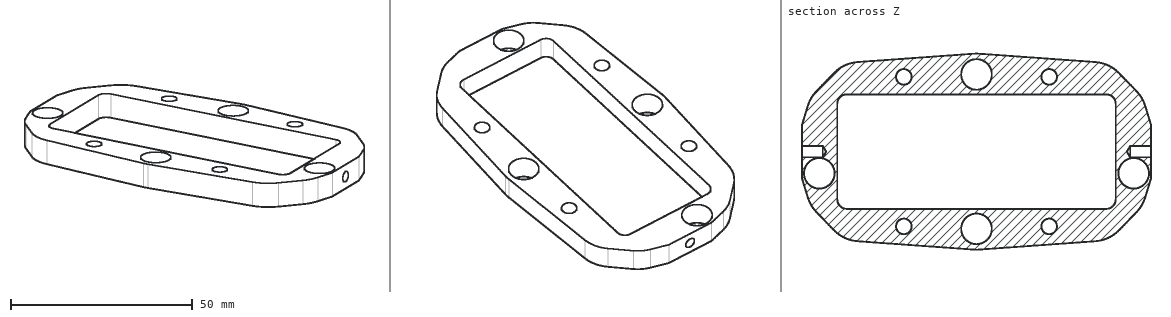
import cadquery as cq
import math

length = 96.0
width = 54.0
thickness = 7.0
corner_radius = 10.0

end_flat_half = 7.3
lower_corner = (45.7, 14.9)
upper_corner = (36.5, 24.4)

window_length = 76.4
window_width = 31.4
window_radius = 2.5

large_hole_diameter = 8.4
long_side_hole_y = 21.2
end_hole_x = 43.2
end_hole_y = -6.0
small_hole_diameter = 4.2
small_hole_x = 20.0
small_hole_y = 20.5

side_hole_diameter = 3.0
side_hole_depth = 5.8
drill_point_angle = 118.0


def make_plate():
    """Plate with a flat at each end and a shallow peak on each long side."""
    slope = math.atan2(width / 2 - upper_corner[1], upper_corner[0])
    peak_y = width / 2 + corner_radius * (1 / math.cos(slope) - 1)
    quadrant = [(length / 2, end_flat_half), lower_corner, upper_corner]
    upper_half = quadrant + [(0, peak_y)] + [(-x, y) for x, y in reversed(quadrant)]
    lower_half = [(-x, -y) for x, y in upper_half]
    bottom = cq.Workplane("XY").workplane(offset=-thickness / 2)
    plate = bottom.polyline(upper_half + lower_half).close().extrude(thickness)

    box_margin = 1.0
    half_flat_box = end_flat_half + box_margin
    flat_edges = cq.selectors.BoxSelector(
        (-length, -half_flat_box, -thickness), (length, half_flat_box, thickness)
    )
    vertical_edges = cq.selectors.ParallelDirSelector(cq.Vector(0, 0, 1))
    rounded_edges = cq.selectors.SubtractSelector(vertical_edges, flat_edges)
    return plate.edges(rounded_edges).fillet(corner_radius)


def make_window():
    window = cq.Workplane("XY").box(window_length, window_width, thickness)
    return window.edges("|Z").fillet(window_radius)


def make_vertical_holes():
    large_points = [(0, long_side_hole_y), (0, -long_side_hole_y)]
    large_points += [(end_hole_x, end_hole_y), (-end_hole_x, end_hole_y)]
    small_points = [(sx * small_hole_x, sy * small_hole_y) for sx in (-1, 1) for sy in (-1, 1)]
    plane = cq.Workplane("XY").workplane(offset=-thickness / 2)
    large = plane.pushPoints(large_points).circle(large_hole_diameter / 2).extrude(thickness)
    small = plane.pushPoints(small_points).circle(small_hole_diameter / 2).extrude(thickness)
    return large.union(small)


def make_side_hole():
    """Blind hole with a conical bottom, drilled inwards from the -X end face."""
    radius = side_hole_diameter / 2
    face_x = -length / 2
    shoulder_x = face_x + side_hole_depth
    tip_x = shoulder_x + radius / math.tan(math.radians(drill_point_angle / 2))
    half_section = [(face_x, 0), (face_x, radius), (shoulder_x, radius), (tip_x, 0)]
    return cq.Workplane("XY").polyline(half_section).close().revolve(360, (0, 0), (1, 0))


side_hole = make_side_hole()
result = make_plate().cut(make_window()).cut(make_vertical_holes())
result = result.cut(side_hole).cut(side_hole.mirror("YZ"))